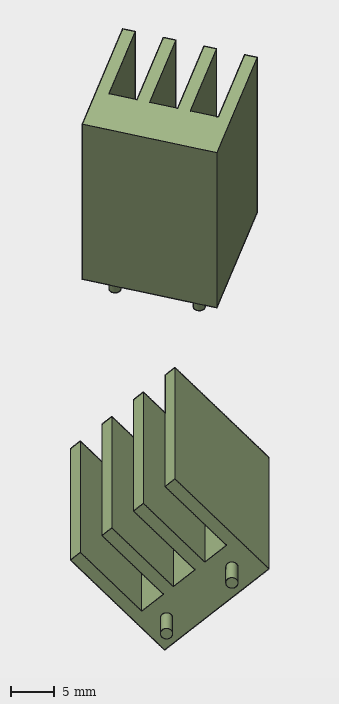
import cadquery as cq

width = 16.0
depth = 16.0
total_height = 28.5
pin_length = 3.5
body_height = total_height - pin_length

base_thickness = 5.55
fin_count = 4
fin_thickness = 1.5
fin_pitch = (width - fin_thickness) / (fin_count - 1)
slot_width = fin_pitch - fin_thickness
slot_depth = depth - base_thickness

pin_diameter = 1.4
pin_spacing = 10.0
pin_inset = 3.0


def make_body():
    """Block with its bottom at Z = 0 and full-height slots between the fins."""
    body = cq.Workplane("XY").box(width, depth, body_height, centered=(True, False, False))
    for index in range(fin_count - 1):
        slot_start = -width / 2 + fin_thickness + index * fin_pitch
        slot = (
            cq.Workplane("XY")
            .box(slot_width, slot_depth, body_height, centered=False)
            .translate((slot_start, base_thickness, 0))
        )
        body = body.cut(slot)
    return body


def make_pins():
    """Two round pins hanging below the body."""
    return (
        cq.Workplane("XY")
        .pushPoints([(-pin_spacing / 2, pin_inset), (pin_spacing / 2, pin_inset)])
        .circle(pin_diameter / 2)
        .extrude(-pin_length)
    )


result = make_body().union(make_pins())